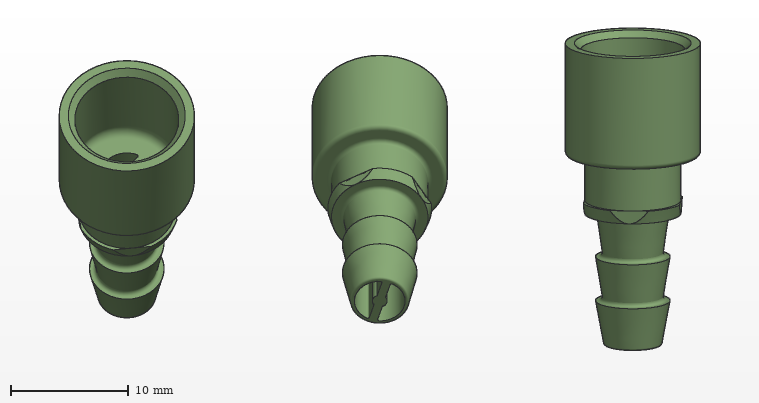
import cadquery as cq
import math

total_height = 26.32
cup_radius = 5.76
cup_bottom = 16.55
cup_edge_radius = 0.4
bore_radius = 4.42
bore_floor = 17.82
bore_floor_fillet = 0.75
bore_chamfer = 0.55

neck_radius = 4.1
root_fillet = 0.37
collar_bottom = 11.48
collar_top = 12.6
collar_top_radius = 4.42
collar_bottom_radius = 4.1
flat_distance = neck_radius
flat_angles = (45, 135, 225, 315)

barb_pitch = 3.85
barb_radius = 3.18
barb_root_radius = 2.6
barb_root_fillet = 0.35
tip_radius = 2.47
tip_edge_radius = 0.18
stem_top_radius = 3.05
stem_root_fillet = 0.32

passage_radius = 2.15
web_thickness = 0.75
core_radius = 0.63
passage_corner_radius = 0.15

QUARTER_ARC = math.sin(math.radians(45))


def concave_corner(profile, radius, shelf_z, fillet, going_up):
    """Draw a quarter-round between a shaft wall and the shelf at shelf_z."""
    direction = 1 if going_up else -1
    wall_z = shelf_z + direction * fillet
    middle_offset = fillet * (1 - QUARTER_ARC)
    middle = (radius + middle_offset, shelf_z + direction * middle_offset)
    shelf_end = (radius + fillet, shelf_z)
    wall_end = (radius, wall_z)
    if going_up:
        return profile.lineTo(*shelf_end).threePointArc(middle, wall_end)
    return profile.lineTo(*wall_end).threePointArc(middle, shelf_end)


def make_outer_body():
    profile = cq.Workplane("XZ").lineTo(tip_radius, 0)
    for barb_top in (barb_pitch, 2 * barb_pitch):
        profile = profile.lineTo(barb_radius, barb_top)
        profile = concave_corner(profile, barb_root_radius, barb_top, barb_root_fillet, True)
    profile = concave_corner(profile, stem_top_radius, collar_bottom, stem_root_fillet, False)
    profile = (
        profile.lineTo(collar_bottom_radius, collar_bottom)
        .lineTo(collar_top_radius, collar_top)
        .lineTo(neck_radius, collar_top)
    )
    profile = concave_corner(profile, neck_radius, cup_bottom, root_fillet, False)
    profile = (
        profile.lineTo(cup_radius, cup_bottom)
        .lineTo(cup_radius, total_height)
        .lineTo(0, total_height)
        .close()
    )
    body = profile.revolve(360, (0, 0), (0, 1))
    body = body.faces("<Z").edges().fillet(tip_edge_radius)
    cup_bottom_edge = cq.selectors.NearestToPointSelector((-cup_radius, 0, cup_bottom))
    return body.edges(cq.selectors.RadiusNthSelector(-1)).edges(cup_bottom_edge).fillet(cup_edge_radius)


def make_collar_flat(angle):
    """Block that trims the collar to a flat level with the neck."""
    depth = cup_radius - flat_distance
    return (
        cq.Workplane("XY", origin=(0, 0, collar_bottom))
        .center(flat_distance + depth / 2, 0)
        .rect(depth, 2 * cup_radius)
        .extrude(collar_top - collar_bottom)
        .rotate((0, 0, 0), (0, 0, 1), angle)
    )


def make_bore():
    bore = (
        cq.Workplane("XY", origin=(0, 0, bore_floor))
        .circle(bore_radius)
        .extrude(total_height - bore_floor)
        .faces("<Z")
        .edges()
        .fillet(bore_floor_fillet)
    )
    mouth = (
        cq.Workplane("XY", origin=(0, 0, total_height))
        .circle(bore_radius + bore_chamfer)
        .extrude(-bore_chamfer, taper=45)
    )
    return bore.union(mouth)


def make_passage():
    opening = cq.Workplane("XY").circle(passage_radius).extrude(bore_floor)
    web = cq.Workplane("XY").rect(web_thickness, 2 * cup_radius).extrude(bore_floor)
    core = cq.Workplane("XY").circle(core_radius).extrude(bore_floor)
    halves = opening.cut(web)
    beside_web = cq.selectors.BoxSelector(
        (-web_thickness, -passage_radius, 0),
        (web_thickness, passage_radius, bore_floor),
    )
    corner_edges = halves.edges("|Z").edges(beside_web)
    return corner_edges.fillet(passage_corner_radius).cut(core)


result = make_outer_body()
for flat_angle in flat_angles:
    result = result.cut(make_collar_flat(flat_angle))
result = result.cut(make_bore()).cut(make_passage())